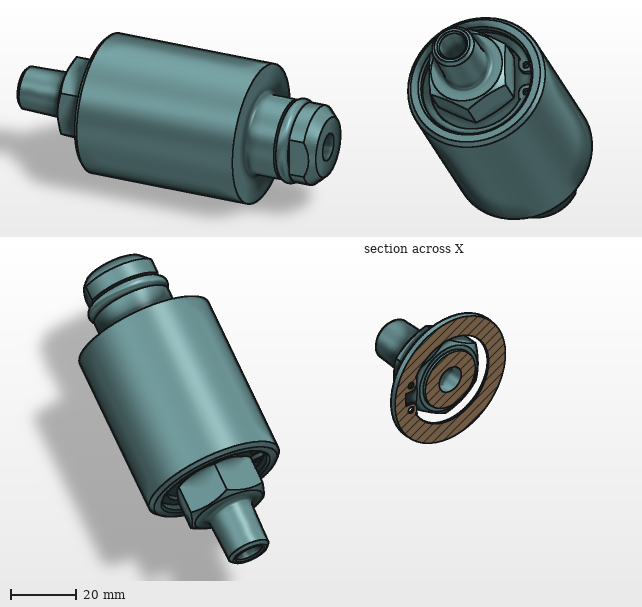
import cadquery as cq
import math

total_length = 101.4
bore_diameter = 8.5
bore_mouth_diameter = 9.6

stem_tip_diameter = 13.4
stem_root_diameter = 14.2
stem_chamfer = 1.0
stem_taper_end = 14.1
stem_fillet = 1.8

hex_start = stem_taper_end + stem_fillet
hex_across_flats = 24.0
hex_face_diameter = 22.7
hex_end = 28.0
hex_chamfer_angle = 30.0
hex_hub_diameter = 19.9

body_start = 25.8
body_end = 79.0
body_diameter = 43.7
body_chamfer = 1.2

recess_diameter = 35.1
recess_mouth_diameter = 36.5
recess_depth = 4.1
ring_thickness = 1.5

ring_inner_diameter = 30.1
lug_diameter = 4.7
lug_hole_diameter = 2.0
lug_centre_y = -15.4
lug_centre_z = 4.6
lug_outer_z = 6.7

spigot_diameter = 24.9
spigot_fillet = 1.5
spigot_chamfer_length = 3.3
spigot_end_diameter = 18.9
flat_spacing = 22.0

groove_start = 88.6
groove_end = 93.2
groove_diameter = 19.3
oring_seat_overlap = 0.05
oring_section_diameter = 3.7


def turned(profile):
    """Revolve a closed (x, radius) outline about the X axis."""
    return profile.close().revolve(360, (0, 0, 0), (1, 0, 0))


def disc(start, length, diameter):
    """Cylinder along X."""
    return cq.Workplane("YZ").workplane(offset=start).circle(diameter / 2).extrude(length)


def make_stem():
    tip_radius = stem_tip_diameter / 2
    root_radius = stem_root_diameter / 2
    return turned(
        cq.Workplane("XY")
        .lineTo(0, tip_radius - stem_chamfer)
        .lineTo(stem_chamfer, tip_radius)
        .lineTo(stem_taper_end, root_radius)
        .radiusArc((hex_start, root_radius + stem_fillet), -stem_fillet)
        .lineTo(hex_start, 0)
    )


def make_hexagon():
    corner_radius = hex_across_flats / math.sqrt(3)
    face_radius = hex_face_diameter / 2
    chamfer_length = (corner_radius - face_radius) * math.tan(math.radians(hex_chamfer_angle))
    prism = (
        cq.Workplane("YZ")
        .workplane(offset=hex_start)
        .polygon(6, 2 * corner_radius)
        .extrude(hex_end - hex_start)
        .rotate((0, 0, 0), (1, 0, 0), 90)
    )
    envelope = turned(
        cq.Workplane("XY")
        .moveTo(hex_start, 0)
        .lineTo(hex_start, face_radius)
        .lineTo(hex_start + chamfer_length, corner_radius)
        .lineTo(hex_end - chamfer_length, corner_radius)
        .lineTo(hex_end, face_radius)
        .lineTo(hex_end, 0)
    )
    hub = disc(hex_end, body_start + recess_depth - hex_end, hex_hub_diameter)
    return prism.intersect(envelope).union(hub)


def make_body():
    outer_radius = body_diameter / 2
    recess_radius = recess_diameter / 2
    mouth_radius = recess_mouth_diameter / 2
    recess_floor = body_start + recess_depth
    return turned(
        cq.Workplane("XY")
        .moveTo(recess_floor, 0)
        .lineTo(recess_floor, recess_radius)
        .lineTo(body_start + mouth_radius - recess_radius, recess_radius)
        .lineTo(body_start, mouth_radius)
        .lineTo(body_start, outer_radius - body_chamfer)
        .lineTo(body_start + body_chamfer, outer_radius)
        .lineTo(body_end, outer_radius)
        .lineTo(body_end, 0)
    )


def make_retaining_ring():
    front = body_start + recess_depth - ring_thickness
    lug_radius = lug_diameter / 2
    lug_inner_y = lug_centre_y + lug_radius
    outer_y = -recess_diameter / 2
    gap_z = lug_centre_z - lug_radius
    ring = disc(front, ring_thickness, recess_diameter).cut(disc(front, ring_thickness, ring_inner_diameter))
    plane = cq.Workplane("YZ").workplane(offset=front)
    gap = plane.rect(recess_diameter, 2 * lug_outer_z).extrude(ring_thickness)
    gap = gap.translate((0, outer_y, 0))
    ring = ring.cut(gap)
    for side in (1, -1):
        lug = (
            plane.moveTo(outer_y, side * gap_z)
            .lineTo(lug_centre_y, side * gap_z)
            .radiusArc((lug_inner_y, side * lug_centre_z), -side * lug_radius)
            .lineTo(lug_inner_y, side * lug_outer_z)
            .lineTo(outer_y, side * lug_outer_z)
            .close()
            .extrude(ring_thickness)
            .intersect(disc(front, ring_thickness, recess_diameter))
        )
        hole = plane.center(lug_centre_y, side * lug_centre_z).circle(lug_hole_diameter / 2)
        ring = ring.union(lug).cut(hole.extrude(ring_thickness))
    return ring


def make_spigot():
    radius = spigot_diameter / 2
    chamfer_start = total_length - spigot_chamfer_length
    spigot = turned(
        cq.Workplane("XY")
        .moveTo(body_end, 0)
        .lineTo(body_end, radius + spigot_fillet)
        .radiusArc((body_end + spigot_fillet, radius), -spigot_fillet)
        .lineTo(groove_start, radius)
        .lineTo(groove_start, groove_diameter / 2)
        .lineTo(groove_end, groove_diameter / 2)
        .lineTo(groove_end, radius)
        .lineTo(chamfer_start, radius)
        .lineTo(total_length, spigot_end_diameter / 2)
        .lineTo(total_length, 0)
    )
    end_length = total_length - groove_end
    for side in (1, -1):
        beyond_flat = cq.Workplane("XY").box(end_length, radius, spigot_diameter)
        flat_y = side * (flat_spacing + radius) / 2
        spigot = spigot.cut(beyond_flat.translate((groove_end + end_length / 2, flat_y, 0)))
    return spigot


def make_oring():
    section_radius = oring_section_diameter / 2
    centre_radius = groove_diameter / 2 + section_radius - oring_seat_overlap
    return (
        cq.Workplane("XY")
        .center((groove_start + groove_end) / 2, centre_radius)
        .circle(section_radius)
        .revolve(360, (0, -centre_radius, 0), (1, -centre_radius, 0))
    )


def make_bore():
    bore_radius = bore_diameter / 2
    mouth_radius = bore_mouth_diameter / 2
    return turned(
        cq.Workplane("XY")
        .lineTo(0, mouth_radius)
        .lineTo(mouth_radius - bore_radius, bore_radius)
        .lineTo(total_length, bore_radius)
        .lineTo(total_length, 0)
    )


result = (
    make_stem()
    .union(make_hexagon())
    .union(make_body())
    .union(make_retaining_ring())
    .union(make_spigot())
    .union(make_oring())
    .cut(make_bore())
)